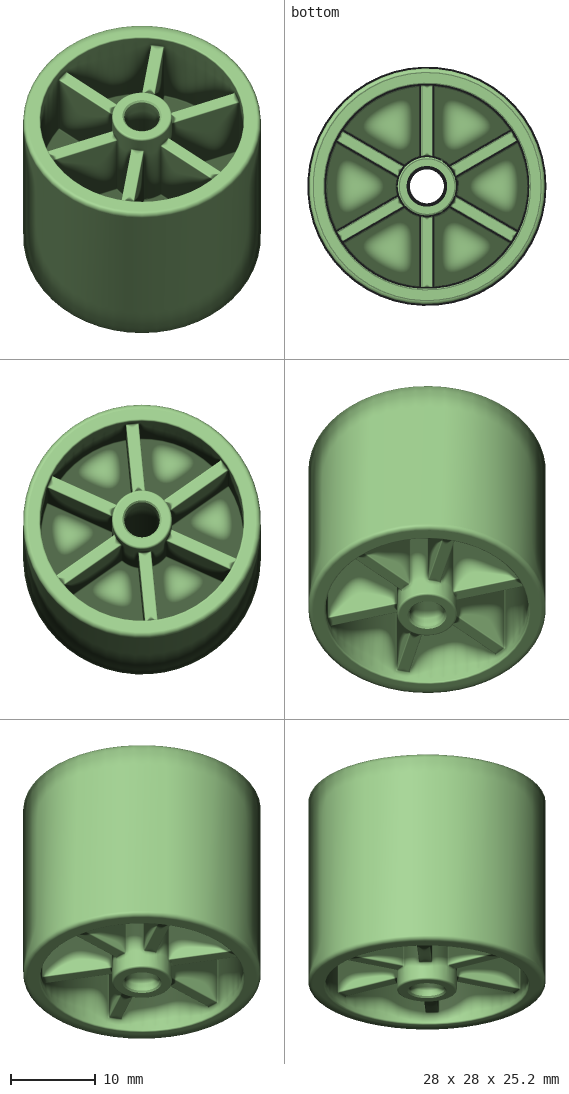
import math

import cadquery as cq

rim_diameter = 28.0
rim_width = 23.8
rim_inner_diameter = 23.97
rim_outer_fillet = 0.55
rim_inner_fillet = 0.2

hub_diameter = 7.05
hub_length = 25.2
hub_edge_fillet = 0.25
bore_diameter = 4.2
bore_edge_chamfer = 0.2

rib_count = 6
rib_thickness = 1.5
rib_recess = 2.2
rib_top_fillet = 0.15
rib_root_fillet = 0.15
web_thickness = rib_thickness

rib_height = hub_length - 2 * rib_recess
rim_inner_radius = rim_inner_diameter / 2
hub_radius = hub_diameter / 2
rib_overlap = 0.42
tolerance = 0.003


def cylinder(diameter, length):
    """Z-axis cylinder centred on the origin."""
    start = cq.Workplane("XY").workplane(offset=-length / 2)
    return start.circle(diameter / 2).extrude(length)


def make_rim():
    sleeve = cylinder(rim_diameter, rim_width).edges("%CIRCLE").fillet(rim_outer_fillet)
    rim = sleeve.cut(cylinder(rim_inner_diameter, rim_width))
    return rim.faces("<Z or >Z").edges(cq.selectors.RadiusNthSelector(0)).fillet(rim_inner_fillet)


def make_hub():
    barrel = cylinder(hub_diameter, hub_length).edges("%CIRCLE").fillet(hub_edge_fillet)
    hub = barrel.cut(cylinder(bore_diameter, hub_length))
    return hub.faces("<Z or >Z").edges(cq.selectors.RadiusNthSelector(0)).chamfer(bore_edge_chamfer)


def make_rib(angle):
    """One rib, lying along the given direction in degrees."""
    inner_end = hub_radius - rib_overlap
    outer_end = rim_inner_radius + rib_overlap
    return (
        cq.Workplane("XY")
        .box(outer_end - inner_end, rib_thickness, rib_height)
        .edges("|X")
        .fillet(rib_top_fillet)
        .translate(((inner_end + outer_end) / 2, 0, 0))
        .rotate((0, 0, 0), (0, 0, 1), angle)
    )


def make_web():
    web = cylinder(rim_inner_diameter + 2 * rib_overlap, web_thickness)
    return web.cut(cylinder(hub_diameter - 2 * rib_overlap, web_thickness))


def is_root_edge(edge):
    """True where a rib or the web meets the hub or the rim, or a rib meets the web."""
    points = [edge.positionAt(fraction) for fraction in (0, 0.5, 1)]
    radii = [math.hypot(point.x, point.y) for point in points]
    heights = [abs(point.z) for point in points]

    def all_near(values, target):
        return all(abs(value - target) < tolerance for value in values)

    between_rib_tops = max(heights) < rib_height / 2 + tolerance
    on_wall = all_near(radii, hub_radius) or all_near(radii, rim_inner_radius)
    on_web = all_near(heights, web_thickness / 2)
    return between_rib_tops and (on_wall or on_web)


wheel = make_rim().union(make_hub()).union(make_web())
for index in range(rib_count):
    wheel = wheel.union(make_rib((index + 0.5) * 360 / rib_count))

root_edges = wheel.edges().filter(is_root_edge)
result = root_edges.fillet(rib_root_fillet)